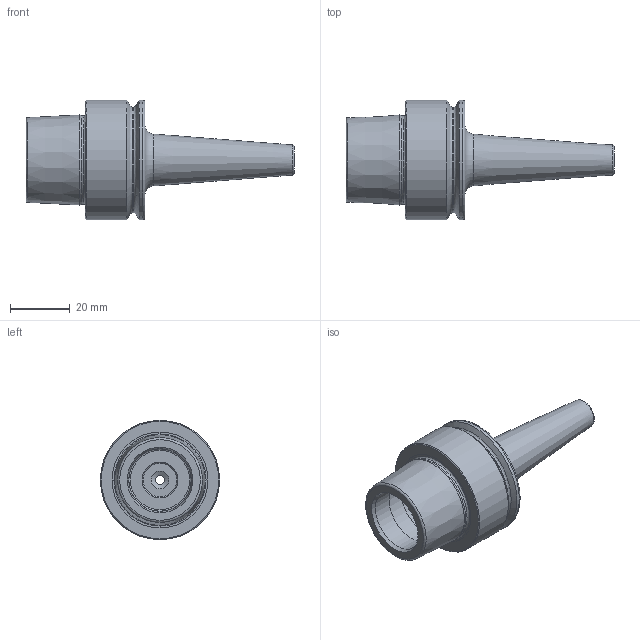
import cadquery as cq
import math


taper_length = 19.9
taper_large_radius = 15.1
taper_small_radius = 14.2
taper_large_x = -2.0
taper_end_fillet = 0.7

relief_radius = 14.85
relief_start_x = -1.2
relief_fillet = 0.6
face_recess_radius = 16.1
face_recess_depth = 0.1

flange_radius = 20.0
flange_length = 20.0
flange_seat_chamfer = 0.3
flange_nose_fillet = 0.8
groove_center_x = 16.0
groove_bottom_radius = 17.75
groove_width = 4.1
groove_wall_angle = 30.0
groove_fillet = 1.0

nose_end_x = 70.0
nose_end_radius = 5.0
nose_half_angle = 4.5
nose_end_fillet = 0.5
nose_root_fillet = 3.0

mouth_radius = 10.5
mouth_chamfer_depth = 0.5
mouth_chamfer_length = 1.25
mouth_length = 7.8
undercut_radius = 12.75
undercut_shoulder_angle = 30.0
undercut_end_depth = 15.2
rear_cone_half_angle = 10.0
floor_wall_radius = 10.45
floor_wall_length = 1.0
floor_fillet = 0.5
rear_cone_length = (undercut_radius - floor_wall_radius) / math.tan(math.radians(rear_cone_half_angle))
bore_floor_x = undercut_end_depth + rear_cone_length + floor_wall_length - taper_length

socket_radius = 5.6
socket_chamfer = 0.4
socket_depth = 8.0
cone_radius = 3.0
cone_tip_angle = 118.0
hole_radius = 1.5


def revolve_about_x(points):
    return cq.Workplane("XZ").polyline(points).close().revolve(360, (0, 0, 0), (1, 0, 0))


def ring_at(x, radius):
    """Select the circular edges in the plane at x, up to the given radius."""
    margin = 0.05
    reach = radius + margin
    return cq.selectors.BoxSelector(
        (x - margin, -reach, -reach),
        (x + margin, reach, reach),
        boundingbox=True,
    )


def make_taper():
    taper = revolve_about_x(
        [
            (-taper_length, 0),
            (-taper_length, taper_small_radius),
            (taper_large_x, taper_large_radius),
            (relief_start_x, relief_radius),
            (0, relief_radius),
            (0, 0),
        ]
    )
    return taper.edges(ring_at(-taper_length, taper_small_radius)).fillet(taper_end_fillet)


def make_flange():
    flange = revolve_about_x(
        [(0, 0), (0, flange_radius), (flange_length, flange_radius), (flange_length, 0)]
    )
    flange = flange.edges(ring_at(0, flange_radius)).chamfer(flange_seat_chamfer)
    return flange.edges(ring_at(flange_length, flange_radius)).fillet(flange_nose_fillet)


def make_gripper_groove():
    wall_run = (flange_radius - groove_bottom_radius) * math.tan(math.radians(groove_wall_angle))
    half_top = groove_width / 2
    half_bottom = half_top - wall_run
    rear_x = groove_center_x - half_bottom
    front_x = groove_center_x + half_bottom
    groove = revolve_about_x(
        [
            (groove_center_x - half_top, flange_radius),
            (rear_x, groove_bottom_radius),
            (front_x, groove_bottom_radius),
            (groove_center_x + half_top, flange_radius),
        ]
    )
    for x in (rear_x, front_x):
        groove = groove.edges(ring_at(x, groove_bottom_radius)).fillet(groove_fillet)
    return groove


def make_face_recess():
    return revolve_about_x(
        [
            (0, relief_radius),
            (0, face_recess_radius),
            (face_recess_depth, face_recess_radius),
            (face_recess_depth, relief_radius),
        ]
    )


def make_nose():
    """Return the nose and the selector of its root edge on the flange."""
    root_radius = nose_end_radius + (nose_end_x - flange_length) * math.tan(math.radians(nose_half_angle))
    nose = revolve_about_x(
        [
            (flange_length, 0),
            (flange_length, root_radius),
            (nose_end_x, nose_end_radius),
            (nose_end_x, 0),
        ]
    )
    nose = nose.edges(ring_at(nose_end_x, nose_end_radius)).fillet(nose_end_fillet)
    return nose, ring_at(flange_length, root_radius)


def make_taper_bore():
    """Mouth, wider undercut and narrowing rear cone, as one solid to cut away."""
    mouth_x = -taper_length
    undercut_end_x = mouth_x + undercut_end_depth
    shoulder_x = mouth_x + mouth_length
    undercut_depth = undercut_radius - mouth_radius
    shoulder_run = undercut_depth * math.tan(math.radians(undercut_shoulder_angle))
    bore = revolve_about_x(
        [
            (mouth_x, 0),
            (mouth_x, mouth_radius + mouth_chamfer_depth),
            (mouth_x + mouth_chamfer_length, mouth_radius),
            (shoulder_x, mouth_radius),
            (shoulder_x + shoulder_run, undercut_radius),
            (undercut_end_x, undercut_radius),
            (undercut_end_x + rear_cone_length, floor_wall_radius),
            (bore_floor_x, floor_wall_radius),
            (bore_floor_x, 0),
        ]
    )
    return bore.edges(ring_at(bore_floor_x, floor_wall_radius)).fillet(floor_fillet)


def make_coolant_hole():
    """Chamfered socket in the bore floor, drill cone and through hole."""
    socket_floor_x = bore_floor_x + socket_depth
    cone_length = (cone_radius - hole_radius) / math.tan(math.radians(cone_tip_angle / 2))
    return revolve_about_x(
        [
            (bore_floor_x, 0),
            (bore_floor_x, socket_radius + socket_chamfer),
            (bore_floor_x + socket_chamfer, socket_radius),
            (socket_floor_x, socket_radius),
            (socket_floor_x, cone_radius),
            (socket_floor_x + cone_length, hole_radius),
            (nose_end_x, hole_radius),
            (nose_end_x, 0),
        ]
    )


nose, nose_root = make_nose()
body = make_taper().union(make_flange()).cut(make_gripper_groove()).cut(make_face_recess())
body = body.edges(ring_at(face_recess_depth, relief_radius)).fillet(relief_fillet)
body = body.union(nose).edges(nose_root).fillet(nose_root_fillet)
result = body.cut(make_taper_bore()).cut(make_coolant_hole())